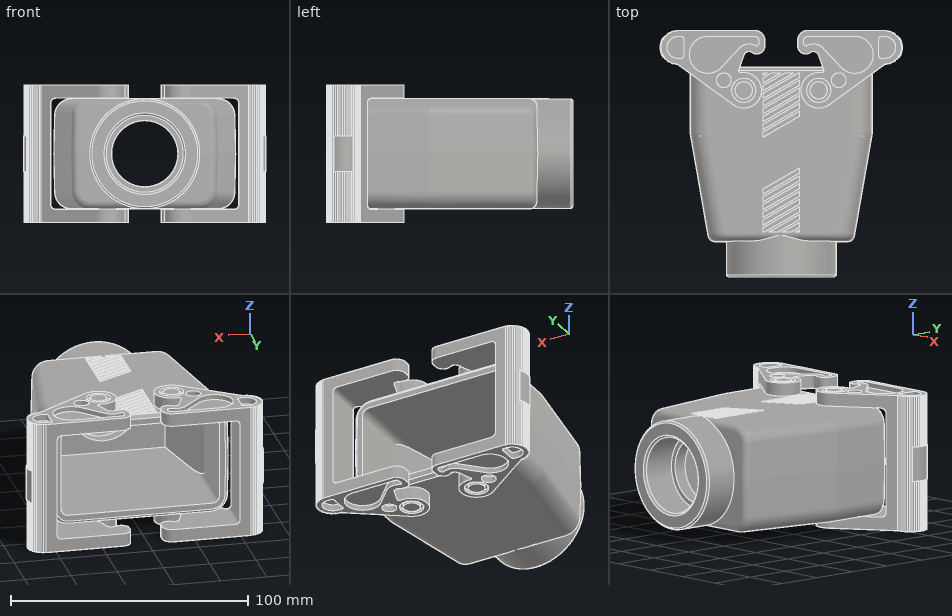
import cadquery as cq
import math

overshoot = 5.2

hood_half_height = 23.3
hood_half_width = 38.3
hood_end_half_width = 30.4
hood_knee_y = -28.2
hood_end_y = -73.6
draft_angle = 1.2
side_fillet = 7.3
end_fillet = 3.1
rim_chamfer = 1.5
side_wall = 4.2
top_wall = 4.2
end_wall = 6.0

entry_radius = 23.2
entry_end_y = -88.4
entry_root_y = hood_end_y + end_fillet
entry_chamfer = 0.8
bore_radius = 16.2
bore_end_y = -73.2
bore_chamfer = 0.9
passage_radius = 13.9

panel_half_width = 7.6
panel_start_y = -2.5
panel_end_y = -69.5
band_angle = 30.0
band_width = 1.9
band_count = 9
first_band_y = 2.1
last_band_y = -24.0
band_depth = 0.3

lever_half_height = 29.0
lever_gap_half_height = 23.4
grip_x, grip_y = -43.6, 8.3
grip_radius = 7.2
pivot_x, pivot_y = -15.8, -9.8
pivot_radius = 7.5
window_x = -39.6
window_fillet = 2.1

hook_tip_x = -6.9
hook_corner_radius = 4.3
hook_nose_radius = 3.4
hook_nose_y = 8.9
hook_throat_radius = 2.2
hook_throat_direction = 234.0
hook_edge_angle = 19.7
heel_fillet = 0.8

hole_x, hole_y = -24.2, -5.5
hole_radius = 3.1
hole_depth = 2.9
groove_outer_radius = 5.1
pin_radius = 3.6
groove_depth = 1.2

grip_pocket_radius = 4.6
grip_pocket_edge_x = -41.0
grip_pocket_fillet = 1.0
pocket_depth = 2.3
pocket_x, pocket_y = -31.0, 5.2
pocket_radius = 7.8
pocket_slope = 45.0
pocket_margin = 2.6
pocket_nose_radius = 1.0
pocket_throat_radius = 5.4

grip_groove_count = 11
grip_groove_pitch = 16.0
grip_groove_width = 0.99
grip_groove_depth = 0.2
pad_height = 0.26
pad_half_angle = 35.0
pad_half_height = 7.4


def point_on(center, radius, angle):
    """Point on a circle at an angle in degrees from +X."""
    a = math.radians(angle)
    return (center[0] + radius * math.cos(a), center[1] + radius * math.sin(a))


def both_sides(shape):
    """The shape together with its mirror image about the mid-plane Z = 0."""
    return shape.union(shape.mirror("XY"))


def hood_outline(inset, end_y, rim_y):
    """Plan outline of the hood, closed at end_y and rim_y, its sides moved in by inset."""
    knee = hood_half_width - inset
    end = hood_end_half_width - inset
    return cq.Workplane("XY").polyline([
        (-knee, rim_y), (-knee, hood_knee_y), (-end, end_y),
        (end, end_y), (knee, hood_knee_y), (knee, rim_y),
    ]).close()


def make_hood():
    """Upper half with its drafted sides and rounded edges, mirrored to the full solid."""
    half = hood_outline(0, hood_end_y, overshoot).extrude(hood_half_height, taper=draft_angle)
    trim = cq.Workplane("XY").rect(4 * hood_half_width, 2 * overshoot).extrude(2 * hood_half_height)
    half = half.cut(trim.translate((0, overshoot, 0)))
    half = half.faces(">Z").edges("not |X").fillet(side_fillet)
    outer_edges = "not(#Z and <Z)"
    half = half.faces("<Y").edges(outer_edges).fillet(end_fillet)
    half = half.faces(">Y").edges(outer_edges).chamfer(rim_chamfer)
    return both_sides(half)


def make_cavity():
    height = hood_half_height - top_wall
    cavity = hood_outline(side_wall, hood_end_y + end_wall, overshoot).extrude(height, both=True)
    return cavity.edges("|Y").fillet(side_fillet - side_wall)


def cylinder_along_y(radius, start_y, end_y):
    """Round bar on the entry axis, running from start_y towards -Y."""
    return cq.Workplane("XZ", origin=(0, start_y, 0)).circle(radius).extrude(start_y - end_y)


def make_entry():
    entry = cylinder_along_y(entry_radius, entry_root_y, entry_end_y)
    return entry.faces("<Y").chamfer(entry_chamfer)


def cut_entry_bore(shell):
    shell = shell.cut(cylinder_along_y(bore_radius, bore_end_y, entry_end_y))
    passage_start_y = hood_end_y + end_wall + overshoot
    shell = shell.cut(cylinder_along_y(passage_radius, passage_start_y, entry_end_y))
    mouth_edge = cq.selectors.RadiusNthSelector(0)
    return shell.faces("<Y").edges("%CIRCLE").edges(mouth_edge).chamfer(bore_chamfer)


def make_bands():
    """Two groups of diagonal bands, the second being the first turned half round the panel centre."""
    center_y = (panel_start_y + panel_end_y) / 2
    panel = cq.Workplane("XY", origin=(0, center_y, hood_half_height - band_depth))
    panel = panel.rect(2 * panel_half_width, panel_start_y - panel_end_y).extrude(2 * band_depth)
    pitch_y = (first_band_y - last_band_y) / (band_count - 1)
    group = cq.Workplane("XY")
    for i in range(band_count):
        band = cq.Workplane("XY").box(6 * panel_half_width, band_width, 4 * band_depth)
        band = band.rotate((0, 0, 0), (0, 0, 1), band_angle)
        group = group.add(band.translate((0, first_band_y - i * pitch_y, hood_half_height)))
    group = panel.intersect(group.combine())
    turned = group.rotate((0, center_y, 0), (0, center_y, 1), 180)
    return group.union(turned)


def tangent_point(start, center, radius):
    """Where the line from start touches a circle, passing it on the right-hand side."""
    heading = math.degrees(math.atan2(start[1] - center[1], start[0] - center[0]))
    return point_on(center, radius, heading + math.degrees(math.acos(radius / math.dist(start, center))))


def hook_throat_center():
    nose = (hook_tip_x - hook_nose_radius, hook_nose_y)
    return point_on(nose, hook_nose_radius + hook_throat_radius, hook_throat_direction)


def hook_edge():
    """Ends of the sloping edge that runs from the hook's throat down to the heel above the pivot."""
    start = point_on(hook_throat_center(), hook_throat_radius, 180 - hook_edge_angle)
    heel_y = pivot_y + pivot_radius
    run = (start[1] - heel_y) * math.tan(math.radians(hook_edge_angle))
    return start, (start[0] - run, heel_y)


def lever_outline():
    pivot = (pivot_x, pivot_y)
    top_y = grip_y + grip_radius
    corner = (hook_tip_x - hook_corner_radius, top_y - hook_corner_radius)
    nose = (hook_tip_x - hook_nose_radius, hook_nose_y)
    nose_end = point_on(nose, hook_nose_radius, hook_throat_direction)
    throat = hook_throat_center()
    edge_start, heel = hook_edge()
    grip_bottom = (grip_x, grip_y - grip_radius)
    pivot_touch = tangent_point(grip_bottom, pivot, pivot_radius)
    return (
        cq.Workplane("XY").moveTo(grip_x, top_y)
        .lineTo(corner[0], top_y)
        .threePointArc(point_on(corner, hook_corner_radius, 45), (hook_tip_x, corner[1]))
        .lineTo(hook_tip_x, hook_nose_y)
        .threePointArc(point_on(nose, hook_nose_radius, -60), nose_end)
        .threePointArc(point_on(throat, hook_throat_radius, 100), edge_start)
        .lineTo(*heel)
        .lineTo(pivot_x, heel[1])
        .threePointArc(point_on(pivot, pivot_radius, 0), pivot_touch)
        .lineTo(*grip_bottom)
        .threePointArc((grip_x - grip_radius, grip_y), (grip_x, top_y))
        .close()
    )


def hook_pocket_outline():
    """Teardrop around the pocket circle, its point reaching along the hook."""
    top_y = pocket_y + pocket_radius
    tip_x = hook_tip_x - pocket_margin
    corner_radius = hook_corner_radius - pocket_margin
    corner = (tip_x - corner_radius, top_y - corner_radius)
    throat = hook_throat_center()
    nose_x = tip_x - pocket_nose_radius
    nose_rise = math.sqrt((pocket_throat_radius + pocket_nose_radius) ** 2 - (nose_x - throat[0]) ** 2)
    nose = (nose_x, throat[1] + nose_rise)
    throat_direction = math.degrees(math.atan2(nose_rise, nose_x - throat[0]))
    nose_end = point_on(throat, pocket_throat_radius, throat_direction)
    slope_start = point_on(throat, pocket_throat_radius, 90 + pocket_slope)
    slope_end = point_on((pocket_x, pocket_y), pocket_radius, pocket_slope - 90)
    return (
        cq.Workplane("XY").moveTo(pocket_x, top_y)
        .lineTo(corner[0], top_y)
        .threePointArc(point_on(corner, corner_radius, 45), (tip_x, corner[1]))
        .lineTo(tip_x, nose[1])
        .threePointArc(point_on(nose, pocket_nose_radius, -60), nose_end)
        .threePointArc(point_on(throat, pocket_throat_radius, 90), slope_start)
        .lineTo(*slope_end)
        .threePointArc((pocket_x - pocket_radius, pocket_y), (pocket_x, top_y))
        .close()
    )


def grip_pocket_outline():
    top = grip_y + grip_pocket_radius
    bottom = grip_y - grip_pocket_radius
    return (
        cq.Workplane("XY").moveTo(grip_x, top)
        .threePointArc((grip_x - grip_pocket_radius, grip_y), (grip_x, bottom))
        .lineTo(grip_pocket_edge_x, bottom)
        .lineTo(grip_pocket_edge_x, top)
        .close()
    )


def at_lever_top(cutter, depth):
    """Moves a cutter that stands on Z = 0 so that it reaches depth below the lever's outer face."""
    return cutter.translate((0, 0, lever_half_height - depth))


def make_lever_recesses():
    """Pockets, hole and ring groove in one outer face of the lever."""
    grip_pocket = grip_pocket_outline().extrude(hole_depth + overshoot)
    grip_pocket = grip_pocket.edges("|Z and >X").fillet(grip_pocket_fillet)
    recesses = at_lever_top(grip_pocket, hole_depth)
    recesses = recesses.union(at_lever_top(hook_pocket_outline().extrude(overshoot), pocket_depth))
    hole = cq.Workplane("XY").center(hole_x, hole_y).circle(hole_radius).extrude(overshoot)
    recesses = recesses.union(at_lever_top(hole, hole_depth))
    ring = cq.Workplane("XY").center(pivot_x, pivot_y).circle(groove_outer_radius).circle(pin_radius)
    return recesses.union(at_lever_top(ring.extrude(overshoot), groove_depth))


def make_grip_grooves():
    """Shallow flutes along the grip, evenly spread about the -X direction."""
    grooves = cq.Workplane("XY")
    for i in range(grip_groove_count):
        angle = (i - (grip_groove_count - 1) / 2) * grip_groove_pitch
        groove = cq.Workplane("XY").box(2 * grip_groove_depth, grip_groove_width, 3 * lever_half_height)
        groove = groove.translate((-grip_radius, 0, 0)).rotate((0, 0, 0), (0, 0, 1), angle)
        grooves = grooves.add(groove.translate((grip_x, grip_y, 0)))
    return grooves.combine()


def make_grip_pad():
    """Raised plate that follows the grip's curve over a short stretch at mid-height."""
    grip = (grip_x, grip_y)
    outer = grip_radius + pad_height
    inner = grip_radius - 2 * grip_groove_depth
    start, end = 180 - pad_half_angle, 180 + pad_half_angle
    pad = (
        cq.Workplane("XY").moveTo(*point_on(grip, outer, start))
        .threePointArc(point_on(grip, outer, 180), point_on(grip, outer, end))
        .lineTo(*point_on(grip, inner, end))
        .threePointArc(point_on(grip, inner, 180), point_on(grip, inner, start))
        .close()
    )
    return pad.extrude(pad_half_height, both=True)


def make_lever():
    lever = lever_outline().extrude(lever_half_height, both=True)
    heel_x, heel_y = hook_edge()[1]
    heel_edge = cq.selectors.NearestToPointSelector((heel_x, heel_y, 0))
    lever = lever.edges("|Z").edges(heel_edge).fillet(heel_fillet)
    window_length = 2 * abs(window_x)
    window = cq.Workplane("XY").box(window_length, window_length, 2 * lever_gap_half_height)
    window = window.edges("|Y and <X").fillet(window_fillet)
    lever = lever.cut(window.translate((window_x + window_length / 2, 0, 0)))
    lever = lever.cut(both_sides(make_lever_recesses()))
    lever = lever.cut(make_grip_grooves()).union(make_grip_pad())
    pin_root = hood_half_height - top_wall / 2
    pin = cq.Workplane("XY", origin=(pivot_x, pivot_y, pin_root)).circle(pin_radius)
    return lever.union(both_sides(pin.extrude(lever_half_height - pin_root)))


shell = make_hood().union(make_entry()).cut(make_cavity())
shell = cut_entry_bore(shell)
shell = shell.cut(make_bands())
lever = make_lever()
result = shell.union(lever).union(lever.mirror("YZ"))